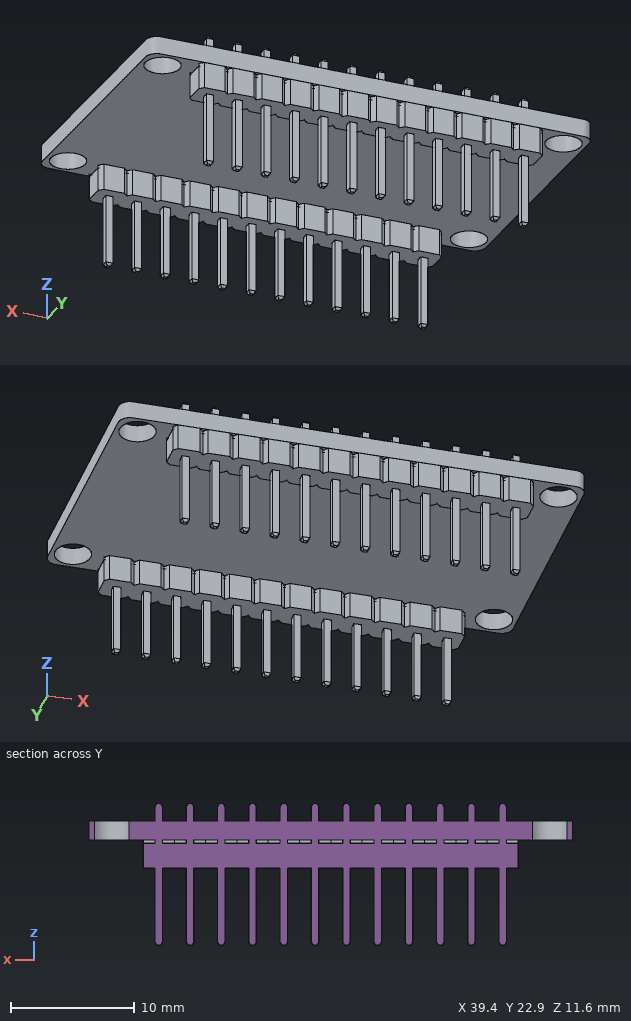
import cadquery as cq
import math

board_length = 39.37
board_width = 22.87
board_thickness = 1.57
corner_radius = 1.0
hole_diameter = 3.05
hole_inset = 1.9

pins_per_row = 12
first_to_last_pin = 27.95
pitch = first_to_last_pin / (pins_per_row - 1)
row_spacing = 8 * pitch

cell_width = 2.5
cell_height = 2.3
cell_chamfer = 0.35
channel_width = cell_width - 2 * cell_chamfer
channel_depth = 0.25

pin_side = 0.63
pin_length = 11.55
pin_above_board = 1.4
pin_top = board_thickness + pin_above_board
tip_height = 0.25
tip_inset = 0.15
tip_taper = math.degrees(math.atan(tip_inset / tip_height))


def make_board():
    """Rounded rectangular plate with a mounting hole near each corner."""
    plate = (
        cq.Workplane("XY")
        .rect(board_length, board_width)
        .extrude(board_thickness)
        .edges("|Z")
        .fillet(corner_radius)
    )
    hole_spacing_x = board_length - 2 * hole_inset
    hole_spacing_y = board_width - 2 * hole_inset
    return (
        plate.faces(">Z")
        .workplane()
        .rect(hole_spacing_x, hole_spacing_y, forConstruction=True)
        .vertices()
        .hole(hole_diameter)
    )


def make_cell():
    """Header cell hanging under the board, with a channel along X across its top."""
    block = (
        cq.Workplane("XY")
        .rect(pitch, cell_width)
        .extrude(-cell_height)
        .edges("|Z")
        .chamfer(cell_chamfer)
    )
    channel = cq.Workplane("XY").rect(pitch, channel_width).extrude(-channel_depth)
    return block.cut(channel)


def make_pin():
    """Square pin running through the cell and the board, tapered at both ends."""
    shank_top = pin_top - tip_height
    shank_bottom = pin_top - pin_length + tip_height
    shank = (
        cq.Workplane("XY", origin=(0, 0, shank_bottom))
        .rect(pin_side, pin_side)
        .extrude(shank_top - shank_bottom)
    )
    pin = shank
    for end_face in (">Z", "<Z"):
        tip_base = shank.faces(end_face).workplane().rect(pin_side, pin_side)
        tip = tip_base.extrude(tip_height, taper=tip_taper, combine=False)
        pin = pin.union(tip)
    return pin


result = make_board()
header_unit = make_cell().union(make_pin())
for row_y in (-row_spacing / 2, row_spacing / 2):
    for index in range(pins_per_row):
        pin_x = index * pitch - first_to_last_pin / 2
        result = result.union(header_unit.translate((pin_x, row_y, 0)))